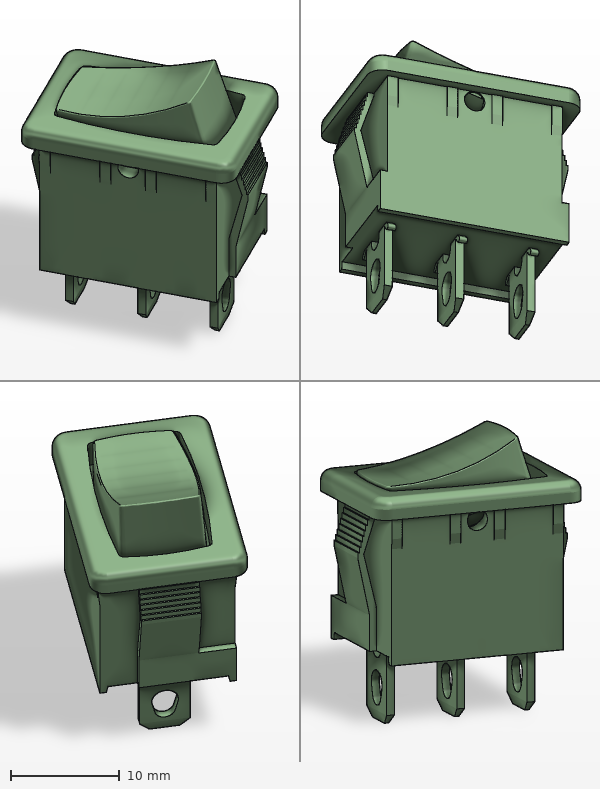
import cadquery as cq
import math


BEZEL_LENGTH = 20.8
BEZEL_WIDTH = 14.8
BEZEL_HEIGHT = 2.0
BEZEL_CORNER_RADIUS = 1.5
BEZEL_EDGE_RADIUS = 1.0

OPENING_MID_X = 8.25
OPENING_CORNER_X = 7.85
OPENING_MID_Y = 4.9
OPENING_CORNER_Y = 4.32
OPENING_CORNER_RADIUS = 0.53
OPENING_DEPTH = 2.79

HOUSING_LENGTH = 17.16
HOUSING_WIDTH = 12.68
HOUSING_BOTTOM_Z = -14.03
CHANNEL_DEPTH = 0.7
FOOT_BOTTOM_WIDTH = 0.6
FOOT_TOP_WIDTH = 0.77

RIB_WIDTH = 1.05
RIB_PROUD = 0.1
RIB_STRAIGHT_LENGTH = 2.07
RIB_LENGTH = 3.02
INNER_RIB_X = 2.2
OUTER_RIB_X = (HOUSING_LENGTH - RIB_WIDTH) / 2

CLIP_SPAN = 20.93
CLIP_WIDTH = 5.62
CLIP_BASE_Z = -9.98
CLIP_INNER_BASE_Z = -9.29
CLIP_KNEE_Z = -4.43
CLIP_INNER_KNEE_X = 9.87
CLIP_INNER_KNEE_Z = -4.1
CLIP_INNER_TOP_Z = -0.27
PLATE_THICKNESS = 0.7
STEP_COUNT = 8
STEP_RUN = 0.15
STEP_RISE = 0.5

ROCKER_TILT = 15.2
ROCKER_BASE_Z = -1.72
ROCKER_MID_X = 7.4
ROCKER_CORNER_X = 7.08
ROCKER_MID_Y = 4.7
ROCKER_CORNER_Y = 4.09
ROCKER_CORNER_RADIUS = 0.77
ROCKER_DRAFT = 2.6
ROCKER_TIP_X = 7.08
ROCKER_TIP_Z = 5.3
ROCKER_TOP_SAG = 0.9
ROCKER_EDGE_RADIUS = 0.138

PIVOT_DIAMETER = 2.0
PIVOT_Z = -PIVOT_DIAMETER / 2
PIN_FLAT_BOTTOM = 0.65
PIN_RECESS = 0.13

TERMINAL_PITCH = 7.0
TERMINAL_COUNT = 3
TERMINAL_THICKNESS = 0.8
TERMINAL_WIDTH = 4.75
TERMINAL_BOTTOM_Z = -20.61
TERMINAL_TIP_HEIGHT = 0.95
TERMINAL_TIP_THICKNESS = 0.42
TERMINAL_HOLE_Z = -13.65
KEYHOLE_LARGE_RADIUS = 1.25
KEYHOLE_LARGE_Z = -17.1
KEYHOLE_SMALL_RADIUS = 0.98
KEYHOLE_SMALL_Z = -18.17
PRONG_TIP_Y = 3.1
PRONG_TIP_Z = -13.9
PRONG_RADIUS = 0.27
PRONG_REACH = 1.33

OVERLAP = 0.27
HOUSING_FLOOR_Z = HOUSING_BOTTOM_Z + CHANNEL_DEPTH


def barrel(mid_x, corner_x, mid_y, corner_y, corner_radius):
    """Rectangle-like outline whose four sides bulge outward as arcs, with rounded corners."""
    return (
        cq.Sketch()
        .arc((corner_x, -corner_y), (mid_x, 0), (corner_x, corner_y))
        .arc((corner_x, corner_y), (0, mid_y), (-corner_x, corner_y))
        .arc((-corner_x, corner_y), (-mid_x, 0), (-corner_x, -corner_y))
        .arc((-corner_x, -corner_y), (0, -mid_y), (corner_x, -corner_y))
        .assemble()
        .vertices()
        .fillet(corner_radius)
    )


def make_bezel():
    plate = cq.Workplane("XY").box(BEZEL_LENGTH, BEZEL_WIDTH, BEZEL_HEIGHT, centered=(True, True, False))
    return plate.edges("|Z").fillet(BEZEL_CORNER_RADIUS).faces(">Z").edges().fillet(BEZEL_EDGE_RADIUS)


def make_opening():
    outline = barrel(
        OPENING_MID_X, OPENING_CORNER_X, OPENING_MID_Y, OPENING_CORNER_Y, OPENING_CORNER_RADIUS
    )
    floor_z = BEZEL_HEIGHT - OPENING_DEPTH
    return cq.Workplane("XY", origin=(0, 0, floor_z)).placeSketch(outline).extrude(OPENING_DEPTH)


def make_housing():
    """Main block with a base plate on each short face and a channel along the underside."""
    block_height = OVERLAP - HOUSING_BOTTOM_Z
    block = (
        cq.Workplane("XY", origin=(0, 0, HOUSING_BOTTOM_Z))
        .box(HOUSING_LENGTH, HOUSING_WIDTH, block_height, centered=(True, True, False))
    )

    plated_length = HOUSING_LENGTH + 2 * PLATE_THICKNESS
    plate_width = (HOUSING_WIDTH + CLIP_WIDTH) / 2
    plates = (
        cq.Workplane("XY", origin=(0, -CLIP_WIDTH / 2, HOUSING_BOTTOM_Z))
        .box(plated_length, plate_width, CLIP_BASE_Z - HOUSING_BOTTOM_Z, centered=(True, False, False))
    )

    bottom_y = HOUSING_WIDTH / 2 - FOOT_BOTTOM_WIDTH
    top_y = HOUSING_WIDTH / 2 - FOOT_TOP_WIDTH
    channel = (
        cq.Workplane("YZ")
        .polyline([
            (-bottom_y, HOUSING_BOTTOM_Z),
            (bottom_y, HOUSING_BOTTOM_Z),
            (top_y, HOUSING_FLOOR_Z),
            (-top_y, HOUSING_FLOOR_Z),
        ])
        .close()
        .extrude(plated_length / 2, both=True)
    )
    return block.union(plates).cut(channel)


def make_rib_pair(x):
    """Ribs on both long faces at one X, running out to the face at their lower ends."""
    face_y = HOUSING_WIDTH / 2
    rib_y = face_y + RIB_PROUD
    return (
        cq.Workplane("YZ", origin=(x, 0, 0))
        .polyline([
            (-rib_y, OVERLAP),
            (-rib_y, -RIB_STRAIGHT_LENGTH),
            (-face_y, -RIB_LENGTH),
            (face_y, -RIB_LENGTH),
            (rib_y, -RIB_STRAIGHT_LENGTH),
            (rib_y, OVERLAP),
        ])
        .close()
        .extrude(RIB_WIDTH / 2, both=True)
    )


def make_clip():
    """Bent spring clip on the +X face with a staircase on its upper outer side."""
    face_x = HOUSING_LENGTH / 2
    root_x = face_x - OVERLAP
    knee_x = CLIP_SPAN / 2
    outline = [
        (root_x, CLIP_BASE_Z),
        (face_x + PLATE_THICKNESS, CLIP_BASE_Z),
        (knee_x, CLIP_KNEE_Z),
    ]
    first_ledge_z = CLIP_KNEE_Z + STEP_RISE
    for step in range(STEP_COUNT):
        ledge_z = first_ledge_z + step * STEP_RISE
        outer_x = knee_x - step * STEP_RUN
        outline += [(outer_x, ledge_z), (outer_x - STEP_RUN, ledge_z)]
    outline += [
        (knee_x - STEP_COUNT * STEP_RUN, OVERLAP),
        (root_x, OVERLAP),
        (root_x, CLIP_INNER_TOP_Z),
        (face_x, CLIP_INNER_TOP_Z),
        (CLIP_INNER_KNEE_X, CLIP_INNER_KNEE_Z),
        (face_x, CLIP_INNER_BASE_Z),
        (root_x, CLIP_INNER_BASE_Z),
    ]
    return cq.Workplane("XZ").polyline(outline).close().extrude(CLIP_WIDTH / 2, both=True)


def make_pivot_pin():
    """Pin along Y through both walls, each end sloped at 45 degrees below a narrow flat."""
    radius = PIVOT_DIAMETER / 2
    end_y = HOUSING_WIDTH / 2 - PIN_RECESS
    slope_depth = radius + PIN_FLAT_BOTTOM
    pin = cq.Workplane("XZ").circle(radius).extrude(end_y, both=True)
    end_profile = (
        cq.Workplane("YZ")
        .polyline([
            (-end_y, radius),
            (-end_y, PIN_FLAT_BOTTOM),
            (slope_depth - end_y, -radius),
            (end_y - slope_depth, -radius),
            (end_y, PIN_FLAT_BOTTOM),
            (end_y, radius),
        ])
        .close()
        .extrude(radius, both=True)
    )
    return pin.intersect(end_profile)


def rocker_outline(inset):
    """Outline of the rocker's base, drawn in on all sides by the inset."""
    return barrel(
        ROCKER_MID_X - inset,
        ROCKER_CORNER_X - inset,
        ROCKER_MID_Y - inset,
        ROCKER_CORNER_Y - inset,
        ROCKER_CORNER_RADIUS - inset,
    )


def make_rocker():
    """Barrel-shaped rocker with a hollow cylindrical top, tilted about its pivot."""
    blank_height = ROCKER_TIP_Z - ROCKER_BASE_Z + OVERLAP
    draft_inset = blank_height * math.tan(math.radians(ROCKER_DRAFT))
    base_outline = rocker_outline(0)
    top_outline = rocker_outline(draft_inset).moved(cq.Location(cq.Vector(0, 0, blank_height)))
    blank = (
        cq.Workplane("XY", origin=(0, 0, ROCKER_BASE_Z))
        .placeSketch(base_outline, top_outline)
        .loft(ruled=True)
    )

    top_radius = (ROCKER_TIP_X**2 + ROCKER_TOP_SAG**2) / (2 * ROCKER_TOP_SAG)
    top_axis_z = ROCKER_TIP_Z - ROCKER_TOP_SAG + top_radius
    hollow = (
        cq.Workplane("XZ", origin=(0, 0, top_axis_z))
        .circle(top_radius)
        .extrude(ROCKER_MID_Y, both=True)
    )
    level = blank.cut(hollow)
    hollow_face = cq.selectors.NearestToPointSelector((0, 0, ROCKER_TIP_Z - ROCKER_TOP_SAG))
    level = level.faces(hollow_face).edges().fillet(ROCKER_EDGE_RADIUS)

    tilted = level.union(make_pivot_pin()).rotate((0, 0, 0), (0, 1, 0), -ROCKER_TILT)
    return tilted.translate((0, 0, PIVOT_Z))


def make_pivot_bore():
    """Hole through both side walls, in line with the pivot."""
    return (
        cq.Workplane("XZ", origin=(0, 0, PIVOT_Z))
        .circle(PIVOT_DIAMETER / 2)
        .extrude(HOUSING_WIDTH / 2, both=True)
    )


def make_prong(side):
    """Round-tipped bar sloping at 45 degrees from the housing floor, on the +Y or -Y side."""
    centre_shift = PRONG_REACH / 2 * math.sqrt(0.5)
    return (
        cq.Workplane("YZ", origin=(0, side * (PRONG_TIP_Y - centre_shift), PRONG_TIP_Z + centre_shift))
        .slot2D(PRONG_REACH + 2 * PRONG_RADIUS, 2 * PRONG_RADIUS, angle=-45 * side)
        .extrude(TERMINAL_THICKNESS / 2, both=True)
    )


def make_keyhole():
    """Two circles of different size joined by their common tangents."""
    spacing = KEYHOLE_LARGE_Z - KEYHOLE_SMALL_Z
    tangent_sine = (KEYHOLE_LARGE_RADIUS - KEYHOLE_SMALL_RADIUS) / spacing
    tangent_cosine = math.sqrt(1 - tangent_sine**2)
    large_y = KEYHOLE_LARGE_RADIUS * tangent_cosine
    large_z = KEYHOLE_LARGE_Z - KEYHOLE_LARGE_RADIUS * tangent_sine
    small_y = KEYHOLE_SMALL_RADIUS * tangent_cosine
    small_z = KEYHOLE_SMALL_Z - KEYHOLE_SMALL_RADIUS * tangent_sine
    return (
        cq.Workplane("YZ")
        .moveTo(large_y, large_z)
        .threePointArc((0, KEYHOLE_LARGE_Z + KEYHOLE_LARGE_RADIUS), (-large_y, large_z))
        .lineTo(-small_y, small_z)
        .threePointArc((0, KEYHOLE_SMALL_Z - KEYHOLE_SMALL_RADIUS), (small_y, small_z))
        .close()
        .extrude(TERMINAL_THICKNESS, both=True)
    )


def make_terminal():
    """Flat blade with a pointed tip, a keyhole, a round hole at the housing and two prongs."""
    half_width = TERMINAL_WIDTH / 2
    shoulder_z = TERMINAL_BOTTOM_Z + TERMINAL_TIP_HEIGHT
    root_z = HOUSING_FLOOR_Z + OVERLAP
    blade = (
        cq.Workplane("YZ")
        .polyline([
            (-half_width, root_z),
            (-half_width, shoulder_z),
            (TERMINAL_TIP_HEIGHT - half_width, TERMINAL_BOTTOM_Z),
            (half_width - TERMINAL_TIP_HEIGHT, TERMINAL_BOTTOM_Z),
            (half_width, shoulder_z),
            (half_width, root_z),
        ])
        .close()
        .extrude(TERMINAL_THICKNESS / 2, both=True)
    )
    edge_profile = (
        cq.Workplane("XZ")
        .polyline([
            (-TERMINAL_THICKNESS / 2, root_z),
            (-TERMINAL_THICKNESS / 2, shoulder_z),
            (-TERMINAL_TIP_THICKNESS / 2, TERMINAL_BOTTOM_Z),
            (TERMINAL_TIP_THICKNESS / 2, TERMINAL_BOTTOM_Z),
            (TERMINAL_THICKNESS / 2, shoulder_z),
            (TERMINAL_THICKNESS / 2, root_z),
        ])
        .close()
        .extrude(half_width, both=True)
    )
    round_hole = (
        cq.Workplane("YZ", origin=(0, 0, TERMINAL_HOLE_Z))
        .circle(PIVOT_DIAMETER / 2)
        .extrude(TERMINAL_THICKNESS, both=True)
    )
    terminal = blade.intersect(edge_profile).cut(round_hole).cut(make_keyhole())
    for side in (-1, 1):
        terminal = terminal.union(make_prong(side))
    return terminal


switch = make_housing().union(make_bezel())

for rib_x in (-OUTER_RIB_X, -INNER_RIB_X, INNER_RIB_X, OUTER_RIB_X):
    switch = switch.union(make_rib_pair(rib_x))

clip = make_clip()
switch = switch.union(clip).union(clip.mirror("YZ"))

terminal = make_terminal()
for index in range(TERMINAL_COUNT):
    terminal_x = (index - (TERMINAL_COUNT - 1) / 2) * TERMINAL_PITCH
    switch = switch.union(terminal.translate((terminal_x, 0, 0)))

switch = switch.cut(make_opening()).cut(make_pivot_bore())
result = switch.union(make_rocker())